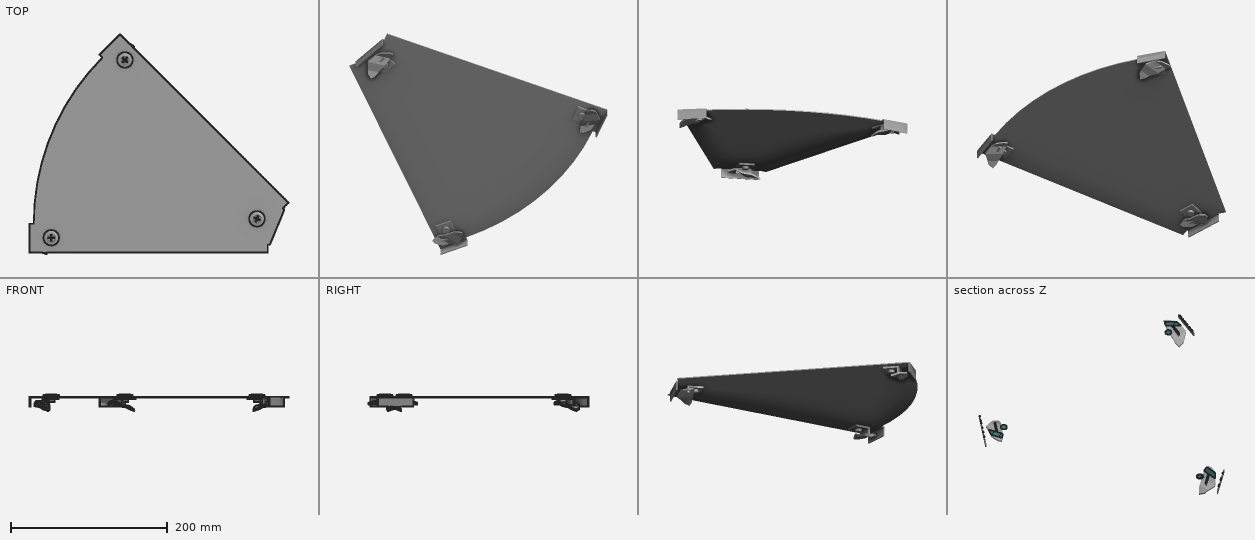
import cadquery as cq
import math


bend_angle = 45.0
sheet = 1.3
apex_x = 393.7
edge_length = 304.0
end_flange_length = 37.0
end_step = 5.3
inner_step = 10.0
inner_setback = 2.5
flange_bottom = -13.0

head_radius = 10.0
head_rim_height = 2.0
head_height = 3.0
head_flat_radius = 5.0
dome_bulge = 0.65
recess_length = 7.5
recess_width = 1.3
recess_depth = 1.5
shank_radius = 4.3
shank_bottom = -7.0

latch_sheet = 2.3
latch_plate_bottom = -sheet - latch_sheet
latch_leg_bottom = -11.0
latch_left = -11.2
latch_right = 9.2
latch_width = 19.8
blade_heading = 60.0
blade_underside = [
    (-23.0, -10.5),
    (-13.2, -7.5),
    (-4.0, -12.2),
    (7.0, -14.0),
    (16.0, -18.5),
]
blade_strip_reach = 33.0
blade_outline = [
    (-6.0, -21.0), (-10.5, -19.5), (-17.8, -12.0), (-21.8, 8.0),
    (-11.0, 19.0), (-3.5, 20.5), (-1.5, 14.0), (-3.0, -12.0),
]

axis_angle = 180 - bend_angle / 2
corner_screw = (27.7, 18.8)
inner_screw_distance = 112.3


def mirrored(point):
    """Reflect a point across the symmetry axis of the cover."""
    double = math.radians(2 * axis_angle)
    x = point[0] - apex_x
    y = point[1]
    return (
        apex_x + x * math.cos(double) + y * math.sin(double),
        x * math.sin(double) - y * math.cos(double),
    )


def on_axis(distance):
    """Point on the symmetry axis at a distance from the apex."""
    angle = math.radians(axis_angle)
    return (apex_x + distance * math.cos(angle), distance * math.sin(angle))


end_corner = (0, 0)
end_flange_tip = (0, end_flange_length)
arc_start = (end_step, end_flange_length)
inner_corner = (edge_length, 0)
notch_corner = (edge_length, inner_step)
inner_flange_tip = (edge_length + inner_setback, inner_step)

arc_centre_x = apex_x - end_flange_length / math.tan(math.radians(bend_angle / 2))
arc_radius = arc_centre_x - end_step
arc_middle = on_axis(math.hypot(apex_x - arc_centre_x, end_flange_length) + arc_radius)

screw_places = [
    (corner_screw, 0.0),
    (mirrored(corner_screw), -bend_angle),
    (on_axis(inner_screw_distance), 180 - bend_angle / 2),
]


def flange(start, end):
    """Vertical wall under the cover, on the left of the way from start to end."""
    length = math.hypot(end[0] - start[0], end[1] - start[1])
    heading = math.degrees(math.atan2(end[1] - start[1], end[0] - start[0]))
    wall = cq.Workplane("XY").box(length, sheet, -flange_bottom, centered=False)
    wall = wall.translate((0, 0, flange_bottom))
    return wall.rotate((0, 0, 0), (0, 0, 1), heading).translate((start[0], start[1], 0))


def make_cover():
    plate = (
        cq.Workplane("XY")
        .moveTo(*end_corner)
        .lineTo(*inner_corner)
        .lineTo(*notch_corner)
        .lineTo(*inner_flange_tip)
        .lineTo(*mirrored(inner_flange_tip))
        .lineTo(*mirrored(notch_corner))
        .lineTo(*mirrored(inner_corner))
        .lineTo(*mirrored(end_corner))
        .lineTo(*mirrored(end_flange_tip))
        .lineTo(*mirrored(arc_start))
        .threePointArc(arc_middle, arc_start)
        .lineTo(*end_flange_tip)
        .close()
        .extrude(-sheet)
    )
    cover = (
        plate
        .union(flange(end_flange_tip, end_corner))
        .union(flange(mirrored(end_corner), mirrored(end_flange_tip)))
        .union(flange(inner_flange_tip, mirrored(inner_flange_tip)))
    )
    holes = (
        cq.Workplane("XY")
        .pushPoints([position for position, turn in screw_places])
        .circle(shank_radius)
        .extrude(-sheet)
    )
    return cover.cut(holes)


def make_screw():
    dome_middle_radius = (head_radius + head_flat_radius) / 2
    dome_middle_height = head_rim_height + dome_bulge * (head_height - head_rim_height)
    screw = (
        cq.Workplane("XZ")
        .moveTo(0, shank_bottom)
        .lineTo(shank_radius, shank_bottom)
        .lineTo(shank_radius, 0)
        .lineTo(head_radius, 0)
        .lineTo(head_radius, head_rim_height)
        .threePointArc((dome_middle_radius, dome_middle_height), (head_flat_radius, head_height))
        .lineTo(0, head_height)
        .close()
        .revolve(360, (0, 0, 0), (0, 1, 0))
    )
    for turn in (0, 90):
        slot = (
            cq.Workplane("XY")
            .workplane(offset=head_height - recess_depth)
            .transformed(rotate=(0, 0, turn))
            .rect(recess_length, recess_width)
            .extrude(recess_depth)
        )
        screw = screw.cut(slot)
    return screw


def make_blade():
    """Blade arched near its free end and kinked down at its tip, trimmed to the blade outline."""
    upper_side = [(along, height + latch_sheet) for along, height in reversed(blade_underside)]
    strip = (
        cq.Workplane("XZ")
        .polyline(blade_underside + upper_side)
        .close()
        .extrude(blade_strip_reach, both=True)
        .rotate((0, 0, 0), (0, 0, 1), blade_heading)
    )
    blade_bottom = min(height for along, height in blade_underside)
    trim = (
        cq.Workplane("XY")
        .workplane(offset=blade_bottom)
        .polyline(blade_outline)
        .close()
        .extrude(-blade_bottom)
    )
    return strip.intersect(trim)


def make_latch():
    plate_length = latch_right - latch_left
    plate_middle = (latch_right + latch_left) / 2
    plate = (
        cq.Workplane("XY")
        .workplane(offset=latch_plate_bottom)
        .center(plate_middle, 0)
        .rect(plate_length, latch_width)
        .extrude(latch_sheet)
    )
    leg = (
        cq.Workplane("XY")
        .workplane(offset=latch_plate_bottom)
        .center(latch_left + latch_sheet / 2, 0)
        .rect(latch_sheet, latch_width)
        .extrude(latch_leg_bottom - latch_plate_bottom)
    )
    shank_hole = (
        cq.Workplane("XY")
        .workplane(offset=shank_bottom)
        .circle(shank_radius)
        .extrude(-shank_bottom)
    )
    return plate.union(leg).union(make_blade()).cut(shank_hole)


def placed(body, position, turn):
    return body.rotate((0, 0, 0), (0, 0, 1), turn).translate((position[0], position[1], 0))


cover = make_cover()
screws = []
latches = []
for position, turn in screw_places:
    screws.append(placed(make_screw(), position, turn).val())
    latches.append(placed(make_latch(), position, turn).val())

result = cq.Compound.makeCompound([cover.val(), *screws, *latches])